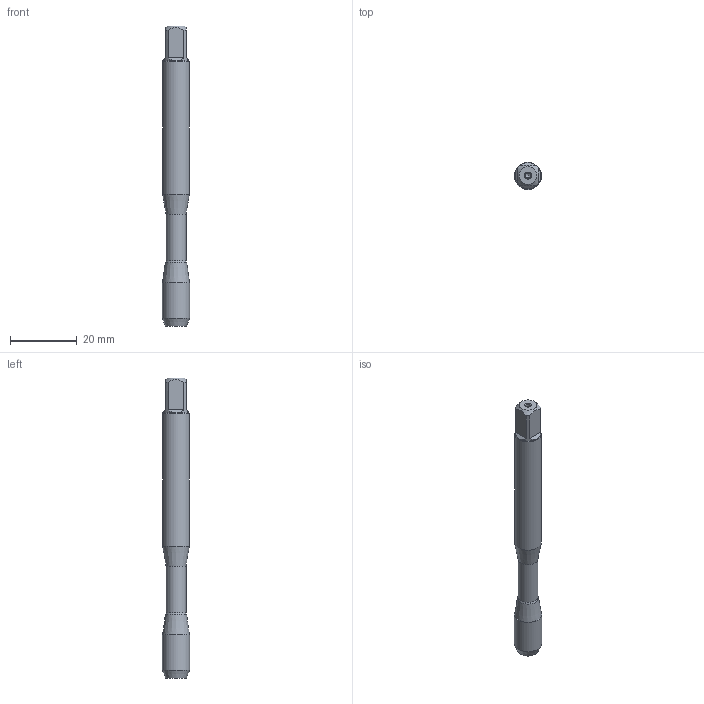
import cadquery as cq
import math

total_length = 90.0
lead_length = 2.3
head_length = 13.0
flare_end = 19.1
neck_start = 19.6
neck_end = 33.5
shank_start = 39.5
shank_end = 79.3

head_diameter = 8.16
tip_diameter = 6.3
flare_base_diameter = 8.08
flare_end_diameter = 6.4
neck_diameter = 6.0
shank_diameter = 8.0

square_width = 6.2
square_base = 80.4
square_corner_diameter = 7.8
end_face_diameter = 5.3

shoulder_height = 0.2

centre_hole_diameter = 1.5
centre_hole_depth = 2.0
drill_point_angle = 118.0
countersink_diameter = 2.1


def revolved(profile):
    """Revolve a profile of (radius, height) points, with both ends on the Z axis."""
    return cq.Workplane("XZ").polyline(profile).close().revolve(360, (0, 0, 0), (0, 1, 0))


def make_tool_head():
    return revolved([
        (0, 0),
        (tip_diameter / 2, 0),
        (head_diameter / 2, lead_length),
        (head_diameter / 2, head_length),
        (0, head_length),
    ])


def make_shank_blank():
    """Round shank with its flare, neck and taper, before the square is cut."""
    end_chamfer = (square_corner_diameter - end_face_diameter) / 2
    return revolved([
        (0, head_length),
        (flare_base_diameter / 2, head_length),
        (flare_end_diameter / 2, flare_end),
        (neck_diameter / 2, neck_start),
        (neck_diameter / 2, neck_end),
        (shank_diameter / 2, shank_start),
        (shank_diameter / 2, shank_end),
        (square_corner_diameter / 2, shank_end + shoulder_height),
        (square_corner_diameter / 2, total_length - end_chamfer),
        (end_face_diameter / 2, total_length),
        (0, total_length),
    ])


def make_flat_cutter():
    """Block beside one flat, with a 45 degree run-out at its lower end."""
    flat_offset = square_width / 2
    outer_reach = shank_diameter / 2
    run_out = outer_reach - flat_offset
    return (
        cq.Workplane("XZ")
        .polyline([
            (flat_offset, square_base),
            (outer_reach, square_base - run_out),
            (outer_reach, total_length),
            (flat_offset, total_length),
        ])
        .close()
        .extrude(shank_diameter, both=True)
    )


def make_centre_hole():
    """Countersunk hole with a conical drill point at the bottom."""
    hole_radius = centre_hole_diameter / 2
    countersink_radius = countersink_diameter / 2
    countersink_depth = countersink_radius - hole_radius
    hole_bottom = total_length - centre_hole_depth
    point_depth = hole_radius / math.tan(math.radians(drill_point_angle / 2))
    return revolved([
        (0, hole_bottom - point_depth),
        (hole_radius, hole_bottom),
        (hole_radius, total_length - countersink_depth),
        (countersink_radius, total_length),
        (0, total_length),
    ])


def make_shank():
    shank = make_shank_blank()
    flat_cutter = make_flat_cutter()
    for angle in (0, 90, 180, 270):
        shank = shank.cut(flat_cutter.rotate((0, 0, 0), (0, 0, 1), angle))
    return shank.cut(make_centre_hole())


tool_head = make_tool_head()
shank = make_shank()
result = cq.Compound.makeCompound([tool_head.val(), shank.val()])